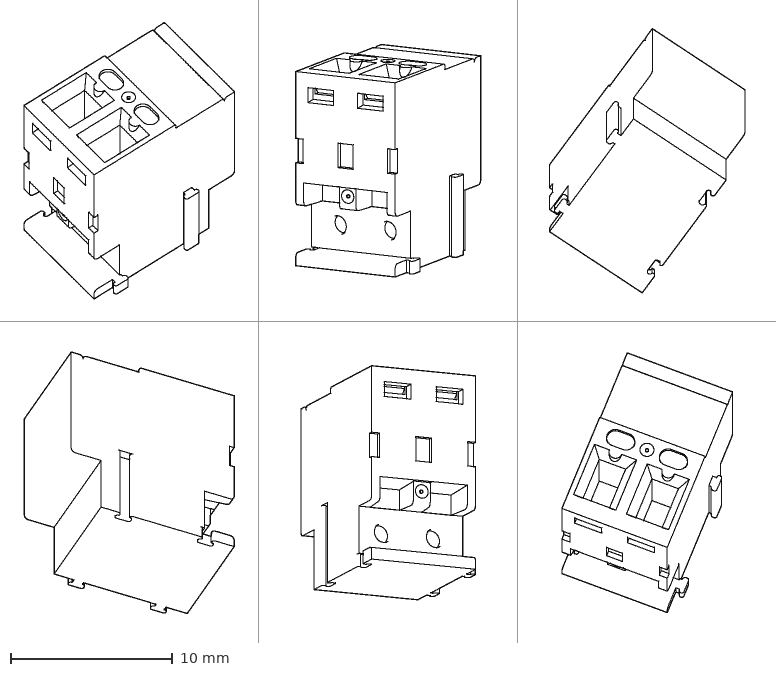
import cadquery as cq
import math


width = 7.01
depth = 11.1
height = 12.3
rear_height = 11.93
step_y = 6.47
step_radius = 0.2
foot_front_y = 2.02
foot_rear_y = 9.07
skirt_z = 3.8
skirt_radius = 0.31
lip_height = 0.81
lip_radius = 0.31
notch_y = 10.28
notch_radius = 0.26

pole_pitch = width / 2
pole_centers = (pole_pitch / 2, 3 * pole_pitch / 2)
mid_x = width / 2

funnel_width = 2.8
funnel_front_y = 1.12
funnel_rear_y = 4.65
funnel_depth = 0.84
throat_width = 1.76
throat_front_y = 1.34
throat_rear_y = 4.11
throat_floor_z = 7.38
guide_radius = 0.4

oval_length = 1.8
oval_width = 1.1
oval_depth = 0.25
oval_y = 5.52

dimple_dia = 0.86
dimple_sphere_dia = 1.72
pin_dia = 0.2
pin_setback = 0.04
top_dimple_y = 5.5
front_dimple_z = 4.69

window_width = 1.8
window_bottom_z = 10.42
window_top_z = 11.37
window_depth = 0.7
window_floor_rise = 0.07
slit_width = 1.57
slit_bottom_z = 10.85
slit_lip_z = 11.24
slit_lip_depth = 0.06
slit_depth = 0.42

coding_width = 1.06
coding_bottom_z = 6.52
coding_top_z = 8.07
coding_depth = 0.32

opening_left_x = 0.57
opening_top_z = 5.3
bay_rear_y = 2.07
post_width = 1.08
post_setback = 0.3
opening_taper = 0.21

contact_z = 2.31
contact_dia = 1.2
contact_radius = 0.28
contact_depth = 0.98

rail_projection = 0.57
stem_width = 0.66
head_overhang = 0.2
head_thickness = 0.31
head_corner_radius = 0.15
slope_length = 0.11
groove_mouth_radius = 0.16
rear_rail_y = 7.38
rear_rail_height = 5.08
front_rail_y = 1.78


def block(x0, x1, y0, y1, z0, z1):
    """Axis-aligned box between two opposite corners."""
    return cq.Workplane("XY").box(x1 - x0, y1 - y0, z1 - z0, centered=False).translate((x0, y0, z0))


def housing():
    """Side outline with the stepped top, the foot and the front lip, extruded across the poles."""
    notch_bend = notch_radius * (1 - math.sqrt(0.5))
    notch_bend_z = rear_height - notch_bend
    notch_bottom_z = rear_height - notch_radius
    outline = (
        cq.Workplane("YZ")
        .moveTo(0, 0)
        .lineTo(foot_rear_y, 0)
        .lineTo(foot_rear_y, skirt_z)
        .lineTo(depth, skirt_z)
        .lineTo(depth, rear_height)
        .lineTo(notch_y + notch_radius, rear_height)
        .threePointArc((notch_y + notch_bend, notch_bend_z), (notch_y, notch_bottom_z))
        .threePointArc((notch_y - notch_bend, notch_bend_z), (notch_y - notch_radius, rear_height))
        .lineTo(step_y, rear_height)
        .lineTo(step_y, height)
        .lineTo(0, height)
        .lineTo(0, skirt_z)
        .lineTo(foot_front_y, skirt_z)
        .lineTo(foot_front_y, lip_height)
        .lineTo(0, lip_height)
        .close()
    )
    body = outline.extrude(width)

    def edge_along_x(y, z):
        return cq.selectors.NearestToPointSelector((mid_x, y, z))

    body = body.edges(edge_along_x(step_y, height)).fillet(step_radius)
    body = body.edges(edge_along_x(0, skirt_z)).fillet(skirt_radius)
    body = body.edges(edge_along_x(depth, skirt_z)).fillet(skirt_radius)
    return body.edges(edge_along_x(0, lip_height)).fillet(lip_radius)


def wire_funnel(x):
    """Tapered mouth and straight throat, less the half-round guide on the rear wall."""
    rim_length = funnel_rear_y - funnel_front_y
    throat_length = throat_rear_y - throat_front_y
    throat_shift = (throat_front_y + throat_rear_y - funnel_front_y - funnel_rear_y) / 2
    mouth = (
        cq.Workplane("XY", origin=(x, (funnel_front_y + funnel_rear_y) / 2, height))
        .rect(funnel_width, rim_length)
        .workplane(offset=-funnel_depth)
        .center(0, throat_shift)
        .rect(throat_width, throat_length)
        .loft(ruled=True)
    )
    throat = block(
        x - throat_width / 2, x + throat_width / 2, throat_front_y, throat_rear_y,
        throat_floor_z, height - funnel_depth,
    )
    guide = (
        cq.Workplane("XY", origin=(x, funnel_rear_y, height - funnel_depth))
        .circle(guide_radius)
        .extrude(funnel_depth)
    )
    return mouth.cut(guide).union(throat)


def window(x):
    """Shallow front window with a slit in its back that narrows to a wedge under a sloping ceiling."""
    slit_lip_y = window_depth + slit_lip_depth
    pocket = (
        cq.Workplane("YZ", origin=(x, 0, 0))
        .moveTo(0, window_bottom_z)
        .lineTo(window_depth, window_bottom_z + window_floor_rise)
        .lineTo(window_depth, window_top_z)
        .lineTo(0, window_top_z)
        .close()
        .extrude(window_width / 2, both=True)
    )
    slit = (
        cq.Workplane("YZ", origin=(x, 0, 0))
        .moveTo(window_depth, slit_bottom_z)
        .lineTo(window_depth + slit_depth, slit_bottom_z)
        .lineTo(slit_lip_y, slit_lip_z)
        .lineTo(slit_lip_y, window_top_z)
        .lineTo(window_depth, window_top_z)
        .close()
        .extrude(slit_width / 2, both=True)
    )
    return pocket.union(slit)


def oval_recess(x):
    return (
        cq.Workplane("XY", origin=(x, oval_y, height))
        .slot2D(oval_length, oval_width)
        .extrude(-oval_depth)
    )


def dimple(point, direction):
    """Spherical dimple sunk along a direction, leaving a small pin just below the surface."""
    start = cq.Vector(*point)
    axis = cq.Vector(*direction)
    sphere_radius = dimple_sphere_dia / 2
    center_offset = math.sqrt(sphere_radius ** 2 - (dimple_dia / 2) ** 2)
    center = start - axis * center_offset
    bowl = cq.Workplane("XY", origin=center.toTuple()).sphere(sphere_radius)
    limit = cq.Solid.makeCylinder(dimple_dia / 2, sphere_radius, start, axis)
    pin = cq.Solid.makeCylinder(pin_dia / 2, sphere_radius, start + axis * pin_setback, axis)
    return bowl.intersect(cq.Workplane(limit)).cut(cq.Workplane(pin))


def coding_pocket(x):
    return block(
        x - coding_width / 2, x + coding_width / 2, 0, coding_depth, coding_bottom_z, coding_top_z
    )


def front_opening():
    """Opening under the front wall: a tapered bay on each side of a set-back post."""
    right_x = width - opening_left_x
    post_left_x = mid_x - post_width / 2
    bay_width = post_left_x - opening_left_x
    bay_height = opening_top_z - skirt_z
    setback_taper = opening_taper * post_setback / bay_rear_y
    cavity = block(
        post_left_x - setback_taper, mid_x + post_width / 2 + setback_taper,
        0, post_setback, skirt_z, opening_top_z,
    )
    for x in (opening_left_x + bay_width / 2, right_x - bay_width / 2):
        bay = (
            cq.Workplane("XZ", origin=(x, 0, skirt_z))
            .center(0, bay_height / 2)
            .rect(bay_width, bay_height)
            .workplane(offset=-bay_rear_y)
            .center(0, -opening_taper / 2)
            .rect(bay_width - 2 * opening_taper, bay_height - opening_taper)
            .loft(ruled=True)
        )
        cavity = cavity.union(bay)
    return cavity


def post_rounding():
    """Material outside the rounded lower front edge of the post."""
    left_x = mid_x - post_width / 2 - opening_taper
    right_x = mid_x + post_width / 2 + opening_taper
    corner = block(
        left_x, right_x, post_setback, post_setback + skirt_radius, skirt_z, skirt_z + skirt_radius
    )
    round_edge = (
        cq.Workplane("YZ", origin=(left_x, post_setback + skirt_radius, skirt_z + skirt_radius))
        .circle(skirt_radius)
        .extrude(right_x - left_x)
    )
    return corner.cut(round_edge)


def contact_hole(x):
    """Blind hole with a rounded entry."""
    radius = contact_dia / 2
    bend = contact_radius * (1 - math.sqrt(0.5))
    return (
        cq.Workplane("XY", origin=(x, foot_front_y, contact_z))
        .lineTo(radius + contact_radius, 0)
        .threePointArc((radius + bend, bend), (radius, contact_radius))
        .lineTo(radius, contact_depth)
        .lineTo(0, contact_depth)
        .close()
        .revolve(360, (0, 0, 0), (0, 1, 0))
    )


def rail(face_x, center_y, rail_height, stepped_side):
    """T-shaped rail; its head steps out on one side (+1 rear, -1 front) and slopes on the other."""
    stem = stem_width / 2
    head = stem + head_overhang
    neck = rail_projection - head_thickness
    points = [
        (0, stem), (neck, stem), (neck, head), (rail_projection, head),
        (rail_projection, -head), (neck, -head), (neck - slope_length, -stem), (0, -stem),
    ]
    profile = (
        cq.Workplane("XY")
        .polyline([(face_x + x, center_y + stepped_side * y) for x, y in points])
        .close()
        .extrude(rail_height)
    )
    for tip in (">Y", "<Y"):
        profile = profile.faces(tip).edges("|Z").fillet(head_corner_radius)
    return profile


def groove(center_y, groove_height, stepped_side):
    """Groove of the rail's shape with a rounded mouth."""
    cutter = rail(0, center_y, groove_height, stepped_side)
    mouth = block(
        0, groove_mouth_radius, center_y - stem_width / 2 - groove_mouth_radius,
        center_y + stem_width / 2 + groove_mouth_radius, 0, groove_height,
    )
    for side in (-1, 1):
        round_edge = (
            cq.Workplane("XY")
            .center(groove_mouth_radius, center_y + side * (stem_width / 2 + groove_mouth_radius))
            .circle(groove_mouth_radius)
            .extrude(groove_height)
        )
        mouth = mouth.cut(round_edge)
    return cutter.union(mouth)


result = housing()
for pole_x in pole_centers:
    result = result.cut(wire_funnel(pole_x))
    result = result.cut(window(pole_x))
    result = result.cut(oval_recess(pole_x))
    result = result.cut(contact_hole(pole_x))
for coding_x in (0, mid_x, width):
    result = result.cut(coding_pocket(coding_x))
result = result.cut(front_opening()).cut(post_rounding())
result = result.cut(dimple((mid_x, top_dimple_y, height), (0, 0, -1)))
result = result.cut(dimple((mid_x, post_setback, front_dimple_z), (0, 1, 0)))
for rail_y, rail_height, stepped_side in (
    (rear_rail_y, rear_rail_height, 1),
    (front_rail_y, lip_height, -1),
):
    result = result.union(rail(width, rail_y, rail_height, stepped_side))
    result = result.cut(groove(rail_y, rail_height, stepped_side))